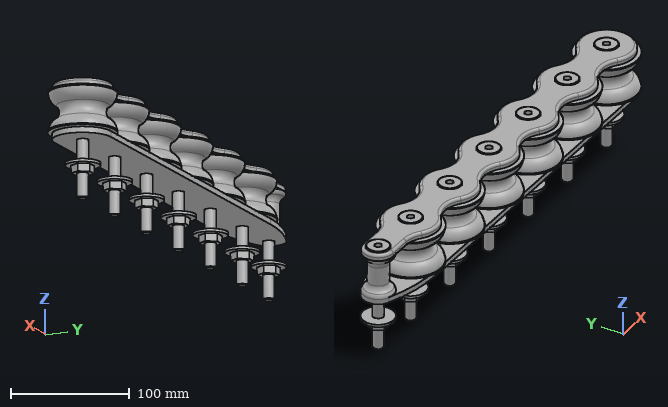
import cadquery as cq
import math

length = 423.8
roller_count = 6
roller_radius = 29.5
washer_diameter = 30.0
nose_radius = washer_diameter / 2
nose_to_roller = 54.0
roller_pitch = (length - nose_radius - nose_to_roller - roller_radius) / (roller_count - 1)
roller_xs = [nose_to_roller + i * roller_pitch for i in range(roller_count)]
bolt_xs = [0.0] + roller_xs

total_height = 100.0
head_rise = 1.0
cap_thickness = 6.0
base_bottom = 51.0
base_top = 56.0
cap_top = total_height - head_rise
cap_bottom = cap_top - cap_thickness
mid_height = (base_top + cap_bottom) / 2

plate_end_radius = 26.0
waist_half_width = 14.5
cap_round = 2.5

roller_waist_radius = 20.0
roller_throat_radius = 22.5
roller_throat_half_height = 6.0
rim_height = 1.3
rim_ledge = 0.5
flank_bulge = 1.5
hub_radius = roller_throat_radius
hub_rise = 1.0

spool_diameter = 19.0
spool_radius = spool_diameter / 2
spool_shaft_half_height = 9.0
flange_shoulder_radius = 13.0
flange_height = 4.0
flange_bulge = 0.5
flare_hollow = 1.0

stud_diameter = 10.0
tip_chamfer = 1.0
head_diameter = 20.0
head_hole_diameter = 21.0
socket_diameter = 6.5
socket_depth = 5.0
washer_thickness = 2.5
washer_top = 31.0
nut_corner_diameter = 20.0
nut_height = 6.8


def disc(diameter, bottom, height):
    """Upright cylinder on the origin axis."""
    return cq.Workplane("XY", origin=(0, 0, bottom)).circle(diameter / 2).extrude(height)


def bulged_middle(start, end, bulge):
    """Point off the middle of a chord, on its left side for a positive bulge."""
    dx = end[0] - start[0]
    dy = end[1] - start[1]
    chord = math.hypot(dx, dy)
    return (
        (start[0] + end[0]) / 2 - dy / chord * bulge,
        (start[1] + end[1]) / 2 + dx / chord * bulge,
    )


def base_plate():
    """Flat plate whose sides taper in one arc from the first roller to the nose."""
    drop = plate_end_radius - nose_radius
    taper_radius = (nose_to_roller**2 + plate_end_radius**2 - nose_radius**2) / (2 * drop)
    center_y = plate_end_radius - taper_radius
    nose_angle = math.atan2(-center_y, -nose_to_roller)
    mid_angle = (nose_angle + math.pi / 2) / 2
    nose_x = nose_radius * math.cos(nose_angle)
    nose_y = nose_radius * math.sin(nose_angle)
    mid_x = nose_to_roller + taper_radius * math.cos(mid_angle)
    mid_y = center_y + taper_radius * math.sin(mid_angle)
    last_x = roller_xs[-1]
    return (
        cq.Workplane("XY", origin=(0, 0, base_bottom))
        .moveTo(nose_x, nose_y)
        .threePointArc((mid_x, mid_y), (nose_to_roller, plate_end_radius))
        .lineTo(last_x, plate_end_radius)
        .threePointArc((last_x + plate_end_radius, 0), (last_x, -plate_end_radius))
        .lineTo(nose_to_roller, -plate_end_radius)
        .threePointArc((mid_x, -mid_y), (nose_x, -nose_y))
        .threePointArc((-nose_radius, 0), (nose_x, nose_y))
        .close()
        .extrude(base_top - base_bottom)
    )


def cap_plate():
    """Scalloped plate: a lobe over each roller, hollow arcs between them, rounded top edge."""
    half_pitch = roller_pitch / 2
    hollow_radius = (half_pitch**2 + waist_half_width**2 - plate_end_radius**2) / (
        2 * (plate_end_radius - waist_half_width)
    )
    share = plate_end_radius / (plate_end_radius + hollow_radius)
    joint_dx = half_pitch * share
    joint_y = (waist_half_width + hollow_radius) * share
    last_x = roller_xs[-1]

    outline = cq.Workplane("XY", origin=(0, 0, cap_bottom)).moveTo(0, waist_half_width)
    outline = outline.lineTo(nose_to_roller - half_pitch, waist_half_width)
    for x in roller_xs[:-1]:
        outline = (
            outline.tangentArcPoint((x - joint_dx, joint_y), relative=False)
            .threePointArc((x, plate_end_radius), (x + joint_dx, joint_y))
            .tangentArcPoint((x + half_pitch, waist_half_width), relative=False)
        )
    outline = (
        outline.tangentArcPoint((last_x - joint_dx, joint_y), relative=False)
        .threePointArc((last_x + plate_end_radius, 0), (last_x - joint_dx, -joint_y))
        .tangentArcPoint((last_x - half_pitch, -waist_half_width), relative=False)
    )
    for x in reversed(roller_xs[:-1]):
        outline = (
            outline.tangentArcPoint((x + joint_dx, -joint_y), relative=False)
            .threePointArc((x, -plate_end_radius), (x - joint_dx, -joint_y))
            .tangentArcPoint((x - half_pitch, -waist_half_width), relative=False)
        )
    outline = outline.lineTo(0, -waist_half_width)
    outline = outline.threePointArc((-waist_half_width, 0), (0, waist_half_width)).close()
    return outline.extrude(cap_thickness).faces(">Z").edges().fillet(cap_round)


def mirrored(point):
    """Section point reflected across the middle height of the stack."""
    return (point[0], 2 * mid_height - point[1])


def roller():
    """Waisted roller: hollow throat, bulging flanks, thin rims and a low hub on each face."""
    rim_face = base_top + hub_rise
    hub_foot = (hub_radius, base_top)
    hub_root = (hub_radius, rim_face)
    rim_corner = (roller_radius, rim_face)
    rim_edge = (roller_radius, rim_face + rim_height)
    flank_foot = (roller_radius - rim_ledge, rim_face + rim_height)
    throat_edge = (roller_throat_radius, mid_height - roller_throat_half_height)
    flank_middle = bulged_middle(flank_foot, throat_edge, -flank_bulge)
    return (
        cq.Workplane("XZ")
        .moveTo(0, base_top)
        .polyline([hub_foot, hub_root, rim_corner, rim_edge, flank_foot], includeCurrent=True)
        .threePointArc(flank_middle, throat_edge)
        .threePointArc((roller_waist_radius, mid_height), mirrored(throat_edge))
        .threePointArc(mirrored(flank_middle), mirrored(flank_foot))
        .lineTo(*mirrored(rim_edge))
        .lineTo(*mirrored(rim_corner))
        .lineTo(*mirrored(hub_root))
        .lineTo(*mirrored(hub_foot))
        .lineTo(0, cap_bottom)
        .close()
        .revolve(360, (0, 0), (0, 1))
    )


def spool():
    """Fixed end spool: plain shaft that flares into a rounded flange at each plate."""
    flange_foot = (nose_radius, base_top)
    shoulder = (flange_shoulder_radius, base_top + flange_height)
    shaft_end = (spool_radius, mid_height - spool_shaft_half_height)
    flange_middle = bulged_middle(flange_foot, shoulder, -flange_bulge)
    flare_middle = bulged_middle(shoulder, shaft_end, flare_hollow)
    return (
        cq.Workplane("XZ")
        .moveTo(0, base_top)
        .lineTo(*flange_foot)
        .threePointArc(flange_middle, shoulder)
        .threePointArc(flare_middle, shaft_end)
        .lineTo(*mirrored(shaft_end))
        .threePointArc(mirrored(flare_middle), mirrored(shoulder))
        .threePointArc(mirrored(flange_middle), mirrored(flange_foot))
        .lineTo(0, cap_bottom)
        .close()
        .revolve(360, (0, 0), (0, 1))
    )


def bolt():
    """Stud through the stack with a round head, a washer and a hexagon nut."""
    stud = disc(stud_diameter, 0, cap_bottom).faces("<Z").chamfer(tip_chamfer)
    head = disc(head_diameter, cap_bottom, total_height - cap_bottom)
    washer_bottom = washer_top - washer_thickness
    washer = disc(washer_diameter, washer_bottom, washer_thickness)
    nut_bottom = washer_bottom - nut_height
    nut = cq.Workplane("XY", origin=(0, 0, nut_bottom)).polygon(6, nut_corner_diameter).extrude(nut_height)
    return stud.union(head).union(washer).union(nut)


def bolt_axis_cutters(diameter, bottom, top):
    """Cutting cylinders on every bolt axis."""
    return (
        cq.Workplane("XY", origin=(0, 0, bottom))
        .pushPoints([(x, 0) for x in bolt_xs])
        .circle(diameter / 2)
        .extrude(top - bottom)
    )


drilled_cap = cap_plate().cut(bolt_axis_cutters(head_hole_diameter, cap_bottom, cap_top))
result = base_plate().union(drilled_cap).union(spool())
for x in roller_xs:
    result = result.union(roller().translate((x, 0, 0)))
for x in bolt_xs:
    result = result.union(bolt().translate((x, 0, 0)))

result = result.cut(bolt_axis_cutters(socket_diameter, total_height - socket_depth, total_height))